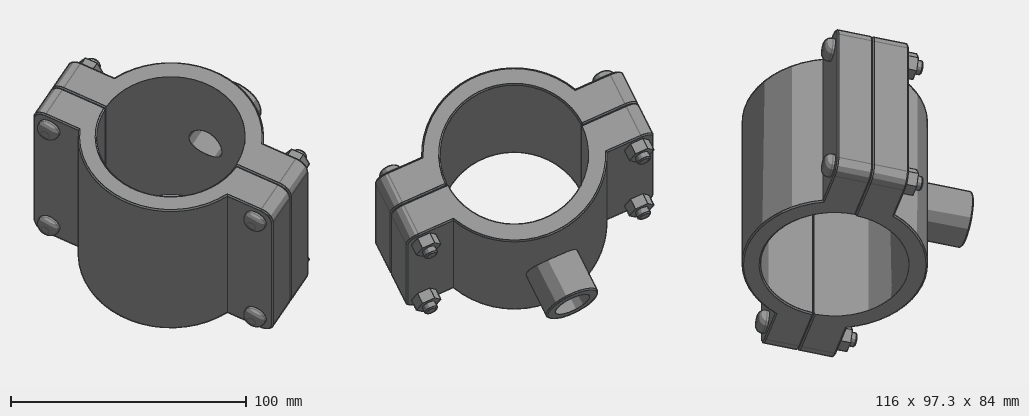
import cadquery as cq
import math

height = 84.0
flange_width = 116.0
flange_depth = 15.8
ring_diameter = 78.8
bore_diameter = 63.0
corner_radius = 5.8
edge_chamfer = 0.64

overall_depth = 97.3
stub_diameter = 24.2
stub_bore_diameter = 16.0
stub_end = overall_depth - ring_diameter / 2
stub_chamfer = 0.6

bolt_inset = 8.0
bolt_diameter = 6.0
bolt_protrusion = 8.0
bolt_tip_chamfer = 0.6
nut_flats = 10.0
nut_height = 5.0
head_diameter = 10.0
head_height = 4.1
head_crown_radius = 3.0

bolt_x = flange_width / 2 - bolt_inset
bolt_z = height / 2 - bolt_inset


def full_height_cylinder(diameter):
    """Cylinder on the clamp axis, as tall as the clamp."""
    bottom = cq.Workplane("XY", origin=(0, 0, -height / 2))
    return bottom.circle(diameter / 2).extrude(height)


def plane_facing_back(y):
    """Workplane at the given Y, with its normal along +Y."""
    return cq.Workplane("XZ", origin=(0, y, 0)).transformed(rotate=(180, 0, 0))


def half_body():
    """Back half (+Y) of the clamp body, not bored yet."""
    ring = full_height_cylinder(ring_diameter)
    flange = (
        cq.Workplane("XY")
        .box(flange_width, 2 * flange_depth, height)
        .edges("|Y")
        .fillet(corner_radius)
    )
    back_space = cq.Workplane("XY").box(
        flange_width, ring_diameter, height, centered=(True, False, True)
    )
    return ring.union(flange).intersect(back_space)


def break_edges(body):
    """Chamfer the rims of both end faces and of the split face.

    The chamfer also follows the rounded corners down the flange sides.
    """
    return body.faces("<Z or >Z or <Y").edges().chamfer(edge_chamfer)


def stub():
    return (
        plane_facing_back(0)
        .circle(stub_diameter / 2)
        .extrude(stub_end)
        .faces(">Y")
        .chamfer(stub_chamfer)
    )


def stub_bore():
    return plane_facing_back(0).circle(stub_bore_diameter / 2).extrude(stub_end)


def bolt():
    """Round-head bolt with its nut, on the Y axis, head towards -Y."""
    shank = (
        plane_facing_back(-flange_depth)
        .circle(bolt_diameter / 2)
        .extrude(2 * flange_depth + bolt_protrusion)
        .faces(">Y")
        .chamfer(bolt_tip_chamfer)
    )
    nut_corners = nut_flats / math.cos(math.pi / 6)
    nut = plane_facing_back(flange_depth).polygon(6, nut_corners).extrude(nut_height)
    head = (
        plane_facing_back(-flange_depth - head_height)
        .circle(head_diameter / 2)
        .extrude(head_height)
        .faces("<Y")
        .edges()
        .fillet(head_crown_radius)
    )
    return shank.union(nut).union(head)


bore = full_height_cylinder(bore_diameter)

front_half = break_edges(half_body().cut(bore)).mirror("XZ")
back_half = break_edges(half_body()).union(stub()).cut(bore).cut(stub_bore())

result = front_half.union(back_half)
for x in (-bolt_x, bolt_x):
    for z in (-bolt_z, bolt_z):
        result = result.union(bolt().translate((x, 0, z)))